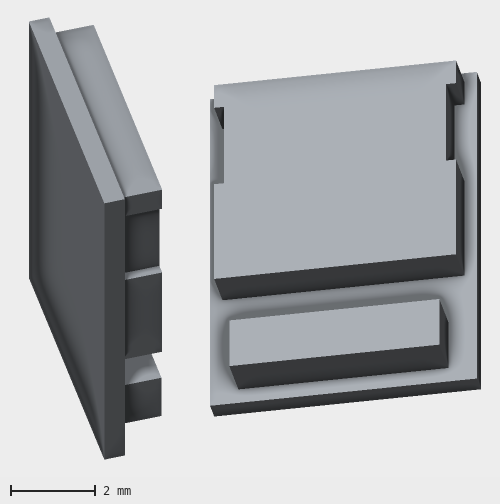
import cadquery as cq

plate_width = 6.4
plate_thickness = 0.5
plate_height = 8.4

cover_width = 5.805
cover_depth = 1.0
cover_bottom = 2.86
cover_top = 8.165

notch_inset = 0.235
notch_bottom = 5.45
notch_top = 7.54

bar_width = 5.04
bar_depth = 1.09
bar_bottom = 0.37
bar_top = 1.62


def centered_block(width, depth, bottom, top, front=0.0):
    """Block centred on X, running back from `front` and up from `bottom` to `top`."""
    block = cq.Workplane("XY").box(width, depth, top - bottom, centered=(True, False, False))
    return block.translate((0, front, bottom))


def notched_cover():
    """Cover block, narrowed between the notch heights."""
    lower = centered_block(cover_width, cover_depth, cover_bottom, notch_bottom, plate_thickness)
    waist_width = cover_width - 2 * notch_inset
    waist = centered_block(waist_width, cover_depth, notch_bottom, notch_top, plate_thickness)
    upper = centered_block(cover_width, cover_depth, notch_top, cover_top, plate_thickness)
    return lower.union(waist).union(upper)


plate = centered_block(plate_width, plate_thickness, 0, plate_height)
bar = centered_block(bar_width, bar_depth, bar_bottom, bar_top, plate_thickness)

result = plate.union(notched_cover()).union(bar)